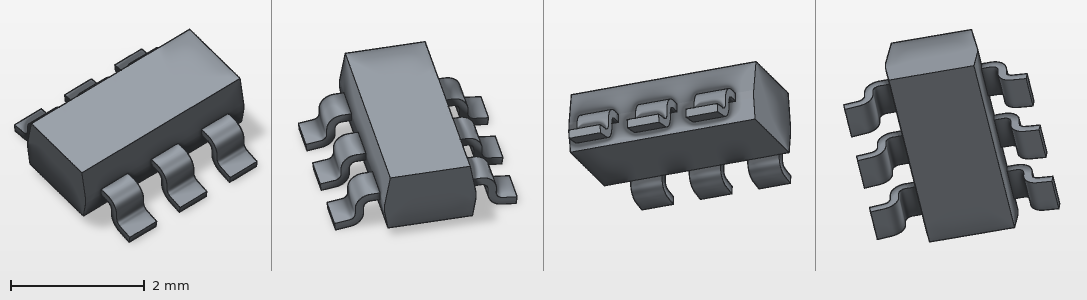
import cadquery as cq
import math

length = 3.0
lead_span = 2.8
overall_height = 1.1

housing_width = 1.4
housing_top_width = 1.225
housing_bottom_width = 1.295
upper_height = 0.51
lower_height = 0.325

lead_thickness = 0.13
lead_width = 0.51
lead_pitch = 0.95
leads_per_side = 3
shoulder_length = 0.147
inner_bend_radius = 0.105
foot_angle = math.radians(7)

outer_bend_radius = inner_bend_radius + lead_thickness
band_top = overall_height - upper_height
band_bottom = band_top - lead_thickness
housing_bottom = band_bottom - lower_height


def make_housing():
    half_band = housing_width / 2
    half_top = housing_top_width / 2
    half_bottom = housing_bottom_width / 2
    outline = [
        (-half_bottom, housing_bottom),
        (half_bottom, housing_bottom),
        (half_band, band_bottom),
        (half_band, band_top),
        (half_top, overall_height),
        (-half_top, overall_height),
        (-half_band, band_top),
        (-half_band, band_bottom),
    ]
    return cq.Workplane("XZ").polyline(outline).close().extrude(length / 2, both=True)


def point_on_arc(center, radius, angle):
    return (center[0] + radius * math.cos(angle), center[1] + radius * math.sin(angle))


def make_lead():
    """Lead on the +X side, centred on Y = 0 and butting against the housing band."""
    upper_center = (housing_width / 2 + shoulder_length, band_top - outer_bend_radius)
    upper_middle = math.radians(45)

    tip_top = (lead_span / 2, lead_thickness * math.cos(foot_angle))
    tip_bottom = (tip_top[0] - lead_thickness * math.sin(foot_angle), 0)

    lower_x = upper_center[0] + outer_bend_radius + inner_bend_radius
    bend_end = math.radians(270) - foot_angle
    bend_end_x = lower_x + inner_bend_radius * math.cos(bend_end)
    bend_end_z = tip_top[1] + (bend_end_x - tip_top[0]) * -math.tan(foot_angle)
    lower_center = (lower_x, bend_end_z - inner_bend_radius * math.sin(bend_end))
    bend_start = math.radians(180)
    lower_middle = (bend_start + bend_end) / 2

    profile = (
        cq.Workplane("XZ")
        .moveTo(housing_width / 2, band_top)
        .lineTo(upper_center[0], band_top)
        .threePointArc(
            point_on_arc(upper_center, outer_bend_radius, upper_middle),
            point_on_arc(upper_center, outer_bend_radius, 0),
        )
        .lineTo(*point_on_arc(lower_center, inner_bend_radius, bend_start))
        .threePointArc(
            point_on_arc(lower_center, inner_bend_radius, lower_middle),
            point_on_arc(lower_center, inner_bend_radius, bend_end),
        )
        .lineTo(*tip_top)
        .lineTo(*tip_bottom)
        .lineTo(*point_on_arc(lower_center, outer_bend_radius, bend_end))
        .threePointArc(
            point_on_arc(lower_center, outer_bend_radius, lower_middle),
            point_on_arc(lower_center, outer_bend_radius, bend_start),
        )
        .lineTo(*point_on_arc(upper_center, inner_bend_radius, 0))
        .threePointArc(
            point_on_arc(upper_center, inner_bend_radius, upper_middle),
            (upper_center[0], band_bottom),
        )
        .lineTo(housing_width / 2, band_bottom)
        .close()
    )
    return profile.extrude(lead_width / 2, both=True)


def make_leads():
    leads = []
    for index in range(leads_per_side):
        y = (index - (leads_per_side - 1) / 2) * lead_pitch
        right_lead = make_lead().translate((0, y, 0))
        left_lead = right_lead.mirror("YZ")
        leads += [right_lead.val(), left_lead.val()]
    return leads


housing = make_housing()
leads = make_leads()
result = cq.Compound.makeCompound([housing.val(), *leads])